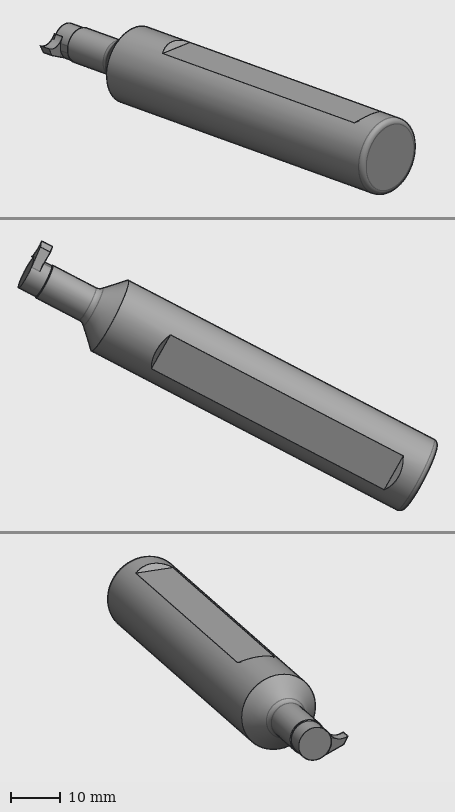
import cadquery as cq
import math

length = 90.0
shank_diameter = 16.0
neck_diameter = 7.4
head_diameter = 7.0

head_start = 0.4
neck_start = 4.2
neck_end = 14.2

blend_radius = 1.8
cone_angle = 45
end_round = 1.1

flat_start = 31.0
flat_end = 84.0
flat_height = 6.9

tooth_reach = 7.0
tooth_tip_height = 0.7
heel_reach = 6.2
heel_height = -1.0
root_y = -1.5
root_height = -3.1
tooth_root_width = 2.25
tooth_tip_width = 2.5

trough_edge_y = -2.9
trough_edge_height = 2.1
trough_mid_y = -3.9
trough_mid_height = 0.9
seat_y = -3.4

shank_radius = shank_diameter / 2
neck_radius = neck_diameter / 2
head_radius = head_diameter / 2
neck_bevel = neck_radius - head_radius


def blend_point(angle):
    """X and radius on the neck-to-cone blend where its slope has turned by angle degrees."""
    turn = math.radians(angle)
    return (
        neck_end + blend_radius * math.sin(turn),
        neck_radius + blend_radius * (1 - math.cos(turn)),
    )


def make_holder():
    """Shank, cone and neck turned about X, with two clamping flats."""
    blend_mid = blend_point(cone_angle / 2)
    blend_end = blend_point(cone_angle)
    cone_run = (shank_radius - blend_end[1]) / math.tan(math.radians(cone_angle))
    cone_end = blend_end[0] + cone_run
    holder = (
        cq.Workplane("XY")
        .moveTo(neck_start, 0)
        .lineTo(neck_start, head_radius)
        .lineTo(neck_start + neck_bevel, neck_radius)
        .lineTo(neck_end, neck_radius)
        .threePointArc(blend_mid, blend_end)
        .lineTo(cone_end, shank_radius)
        .lineTo(length, shank_radius)
        .lineTo(length, 0)
        .close()
        .revolve(360, (0, 0, 0), (1, 0, 0))
    )
    holder = holder.faces(">X").edges().fillet(end_round)
    for side in (1, -1):
        holder = holder.cut(make_flat_cutter(side))
    return holder


def make_flat_cutter(side):
    """Pocket with 45 degree end ramps that leaves a flat at Z = side * flat_height."""
    rise = shank_radius - flat_height
    return (
        cq.Workplane("XZ")
        .polyline([
            (flat_start, side * flat_height),
            (flat_end, side * flat_height),
            (flat_end + rise, side * shank_radius),
            (flat_start - rise, side * shank_radius),
        ])
        .close()
        .extrude(shank_radius, both=True)
    )


def make_tooth():
    """Hooked tooth with a flared back and a front face that leans back below the edge."""
    side_profile = (
        cq.Workplane("YZ")
        .moveTo(0, trough_edge_height)
        .lineTo(-tooth_reach, trough_edge_height)
        .lineTo(-tooth_reach, tooth_tip_height)
        .lineTo(-heel_reach, heel_height)
        .lineTo(root_y, root_height)
        .lineTo(0, root_height)
        .close()
        .extrude(tooth_tip_width)
    )
    plan = (
        cq.Workplane("XY")
        .polyline([
            (0, root_y),
            (0, -tooth_reach),
            (tooth_tip_width, -tooth_reach),
            (tooth_root_width, -head_radius),
            (tooth_root_width, root_y),
        ])
        .close()
        .extrude(head_diameter, both=True)
    )
    front_relief = (
        cq.Workplane("XZ")
        .polyline([
            (0, trough_edge_height),
            (0, tooth_tip_height),
            (head_start, root_height),
            (tooth_tip_width, root_height),
            (tooth_tip_width, trough_edge_height),
        ])
        .close()
        .extrude(tooth_reach)
    )
    inside = cq.Workplane("YZ").circle(head_radius).extrude(head_start)
    return side_profile.intersect(plan).intersect(front_relief).cut(inside)


def make_trough_cutter():
    """Space above the concave arc from the head side to the tooth tip."""
    return (
        cq.Workplane("YZ")
        .moveTo(trough_edge_y, trough_edge_height)
        .threePointArc((trough_mid_y, trough_mid_height), (-tooth_reach, tooth_tip_height))
        .lineTo(-tooth_reach, trough_edge_height)
        .close()
        .extrude(neck_start)
    )


def make_head():
    """Round cutting head with its tooth, chip trough and small flat behind the tooth."""
    head = (
        cq.Workplane("YZ")
        .workplane(offset=head_start)
        .circle(head_radius)
        .extrude(neck_start - head_start)
    )
    seat_cutter = (
        cq.Workplane("XY")
        .box(neck_start - tooth_root_width, head_radius, head_diameter, centered=(False, False, True))
        .translate((tooth_root_width, seat_y - head_radius, 0))
    )
    return head.cut(seat_cutter).union(make_tooth()).cut(make_trough_cutter())


holder = make_holder()
cutting_head = make_head()

result = cq.Compound.makeCompound([holder.val(), cutting_head.val()])